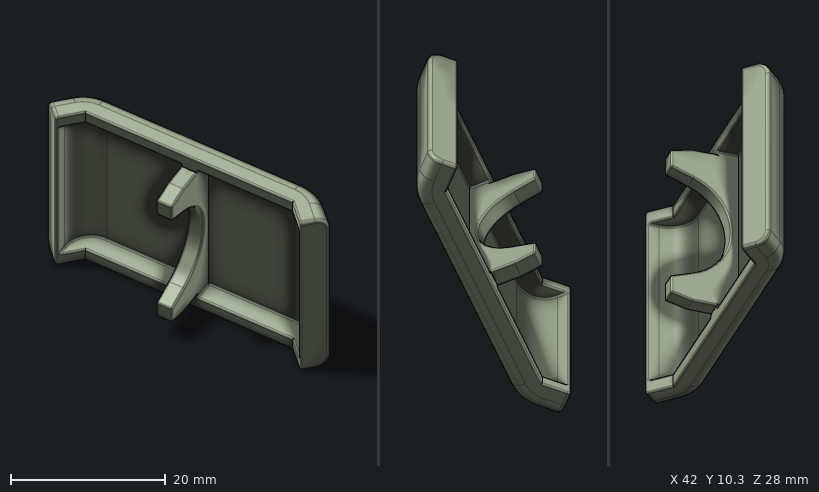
import cadquery as cq
import math

width = 42
height = 28.0
wall = 4.0
bend_corner = 17.18
bend_radius = 6.0
back_round = 1.97
end_round = 0.5
edge_round = 0.25

rim = 1.97
floor_thickness = 1.0
pocket_end = 18.05
pocket_end_radius = 4.0

rib_width = 2.4
arm_reach = 10.3
arm_knee = 7.3
arm_half_height = 11.65
tip_half_height = 10.9
notch_radius = 7.73
notch_depth = 2.1
notch_flare = math.radians(20)

wing_angle = math.radians(45)
diagonal = math.sin(wing_angle)
half_bend = math.tan(wing_angle / 2)
tip_outer_x = width / 2 + end_round * (math.sqrt(2) - 1)
tip_outer_y = bend_corner - tip_outer_x
tip_inner_x = tip_outer_x - wall * diagonal
tip_inner_y = tip_outer_y - wall * diagonal
inner_corner = bend_corner - wall * half_bend
bend_start = bend_corner - bend_radius * half_bend
bend_end_x = bend_corner + bend_radius * half_bend * diagonal
bend_end_y = -bend_radius * half_bend * diagonal
bend_mid_x = bend_start + bend_radius * math.sin(wing_angle / 2)
bend_mid_y = -bend_radius * (1 - math.cos(wing_angle / 2))

pocket_height = height - 2 * rim
rib_side = rib_width / 2
tip_y = -arm_reach
notch_y = -notch_depth - notch_radius
tolerance = 0.005


def on_front(edge):
    """True for an edge in the front of the plate or a wing, except the bend lines."""
    center = edge.Center()
    past_bend = abs(center.x) - inner_corner
    front_y = -wall - max(0, past_bend)
    return abs(center.y - front_y) < tolerance and abs(past_bend) > tolerance


def on_wing_end(edge):
    """True for an edge around a wing's end face, except the one at the front."""
    center = edge.Center()
    offset = abs(center.x) - center.y - (tip_outer_x - tip_outer_y)
    return abs(offset) < tolerance and not on_front(edge)


def on_pocket_mouth(edge):
    """True for an edge of a pocket opening along the bars or around its inner corners."""
    center = edge.Center()
    along_bar = arm_half_height < abs(center.z) < pocket_height / 2 + tolerance
    beside_rib = rib_side - tolerance < abs(center.x) < pocket_end - edge_round
    return along_bar and beside_rib and on_front(edge)


def on_arm_side(edge):
    """True for an edge along either side of the arms and the notch."""
    center = edge.Center()
    on_side = abs(abs(center.x) - rib_side) < tolerance
    on_outline = abs(center.z) < arm_half_height + tolerance and center.y < -notch_depth
    return on_side and on_outline


def make_body():
    """Plate with two bent wings, rounded on all outside edges."""
    body = (
        cq.Workplane("XY", origin=(0, 0, -height / 2))
        .moveTo(-bend_start, 0)
        .lineTo(bend_start, 0)
        .threePointArc((bend_mid_x, bend_mid_y), (bend_end_x, bend_end_y))
        .lineTo(tip_outer_x, tip_outer_y)
        .lineTo(tip_inner_x, tip_inner_y)
        .lineTo(inner_corner, -wall)
        .lineTo(-inner_corner, -wall)
        .lineTo(-tip_inner_x, tip_inner_y)
        .lineTo(-tip_outer_x, tip_outer_y)
        .lineTo(-bend_end_x, bend_end_y)
        .threePointArc((-bend_mid_x, bend_mid_y), (-bend_start, 0))
        .close()
        .extrude(height)
    )
    body = body.faces(">Y").edges("|X").fillet(back_round)
    body = body.edges().filter(on_wing_end).fillet(end_round)
    return body.edges().filter(on_front).fillet(edge_round)


def make_pocket():
    """Cutter for the pocket at +X: flat floor with a round outer end."""
    arc_x = pocket_end - pocket_end_radius
    arc_y = -floor_thickness - pocket_end_radius
    arc_mid_x = arc_x + pocket_end_radius * diagonal
    arc_mid_y = arc_y + pocket_end_radius * diagonal
    pocket = (
        cq.Workplane("XY", origin=(0, 0, -pocket_height / 2))
        .moveTo(rib_side, tip_y)
        .lineTo(rib_side, -floor_thickness)
        .lineTo(arc_x, -floor_thickness)
        .threePointArc((arc_mid_x, arc_mid_y), (pocket_end, arc_y))
        .lineTo(pocket_end, tip_y)
        .close()
        .extrude(pocket_height)
    )
    return pocket.faces("<Z or >Z").edges("not <Y").fillet(edge_round)


def make_arms():
    """Rib-wide block reaching forward, tapered toward the arm tips."""
    return (
        cq.Workplane("YZ", origin=(-rib_side, 0, 0))
        .moveTo(-floor_thickness, arm_half_height)
        .lineTo(-arm_knee, arm_half_height)
        .lineTo(tip_y, tip_half_height)
        .lineTo(tip_y, -tip_half_height)
        .lineTo(-arm_knee, -arm_half_height)
        .lineTo(-floor_thickness, -arm_half_height)
        .close()
        .extrude(rib_width)
    )


def make_notch():
    """Cutter between the arms: a round bottom with straight flared sides."""
    knee_y = notch_y + notch_radius * math.sin(notch_flare)
    knee_z = notch_radius * math.cos(notch_flare)
    tip_z = knee_z + (knee_y - tip_y) * math.tan(notch_flare)
    return (
        cq.Workplane("YZ", origin=(-rib_side, 0, 0))
        .moveTo(tip_y, tip_z)
        .lineTo(knee_y, knee_z)
        .threePointArc((-notch_depth, 0), (knee_y, -knee_z))
        .lineTo(tip_y, -tip_z)
        .close()
        .extrude(rib_width)
    )


pocket = make_pocket()
part = (
    make_body()
    .cut(pocket)
    .cut(pocket.mirror("YZ"))
    .union(make_arms())
    .cut(make_notch())
)
arm_edges = part.edges().filter(on_arm_side).add(part.edges("<Y"))
exposed_edges = arm_edges.add(part.edges().filter(on_pocket_mouth))
result = exposed_edges.fillet(edge_round)